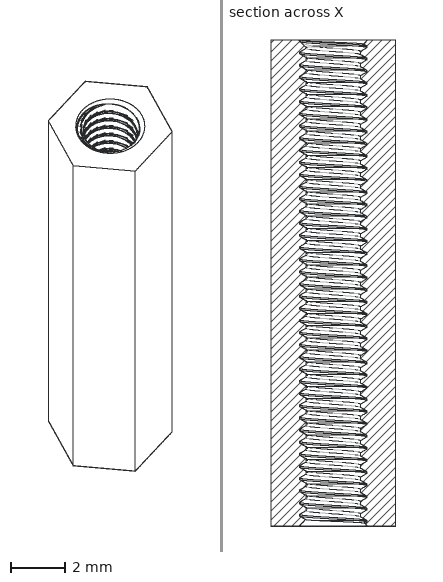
import cadquery as cq
import math

length = 18.0
across_flats = 4.0
across_corners = across_flats * 2 / math.sqrt(3)

pitch = 0.45
minor_radius = 1.0
major_radius = 1.25
root_flat = pitch / 8
flank_angle = 30.0
flank_points = 12
start_angle = 120.0
turn_count = math.ceil(length / pitch) + 1
form_bottom = -turn_count * pitch / 2

mouth_radius = 1.28


def make_hexagon():
    """Hexagonal bar with flats facing +X and -X."""
    return (
        cq.Workplane("XY", origin=(0, 0, -length / 2))
        .transformed(rotate=(0, 0, 30))
        .polygon(6, across_corners)
        .extrude(length)
    )


def polar(radius, angle):
    """Point at the given radius and angle (radians) about the Z axis."""
    return (radius * math.cos(angle), radius * math.sin(angle))


def make_thread_turn():
    """Lowest turn of the threaded bore: the cam-shaped thread section twisted once about Z."""
    radians_per_height = 2 * math.pi / pitch
    thread_depth = major_radius - minor_radius
    root_half = root_flat / 2 * radians_per_height
    flank_span = thread_depth * math.tan(math.radians(flank_angle)) * radians_per_height
    crest_half = root_half + flank_span

    def rising_flank(t):
        return polar(minor_radius + thread_depth * t, -crest_half + flank_span * t)

    def falling_flank(t):
        return polar(major_radius - thread_depth * t, root_half + flank_span * t)

    return (
        cq.Workplane("XY", origin=(0, 0, form_bottom))
        .moveTo(*rising_flank(0))
        .parametricCurve(rising_flank, N=flank_points, makeWire=False)
        .moveTo(*rising_flank(1))
        .threePointArc((major_radius, 0), polar(major_radius, root_half))
        .parametricCurve(falling_flank, N=flank_points, makeWire=False)
        .moveTo(*falling_flank(1))
        .threePointArc((-minor_radius, 0), rising_flank(0))
        .wire()
        .twistExtrude(pitch, 360)
    )


def make_thread_form():
    """Solid filling the threaded bore: stacked turns sewn together and capped at both ends."""
    turn = make_thread_turn()
    walls = turn.faces("not(<Z or >Z)").vals()
    faces = [turn.faces("<Z").val()]
    for index in range(turn_count):
        rise = cq.Vector(0, 0, index * pitch)
        faces += [wall.translate(rise) for wall in walls]
    top_rise = cq.Vector(0, 0, (turn_count - 1) * pitch)
    faces.append(turn.faces(">Z").val().translate(top_rise))
    form = cq.Workplane(obj=cq.Solid.makeSolid(cq.Shell.makeShell(faces)))
    return form.rotate((0, 0, 0), (0, 0, 1), start_angle)


def make_countersink(side):
    """45 degree cone opening at the +Z (side = 1) or -Z (side = -1) end."""
    mouth = side * length / 2
    return (
        cq.Workplane("XZ")
        .moveTo(0, mouth)
        .lineTo(mouth_radius, mouth)
        .lineTo(0, mouth - side * mouth_radius)
        .close()
        .revolve(360, (0, 0, 0), (0, 1, 0))
    )


result = make_hexagon().cut(make_thread_form())
for side in (1, -1):
    result = result.cut(make_countersink(side))